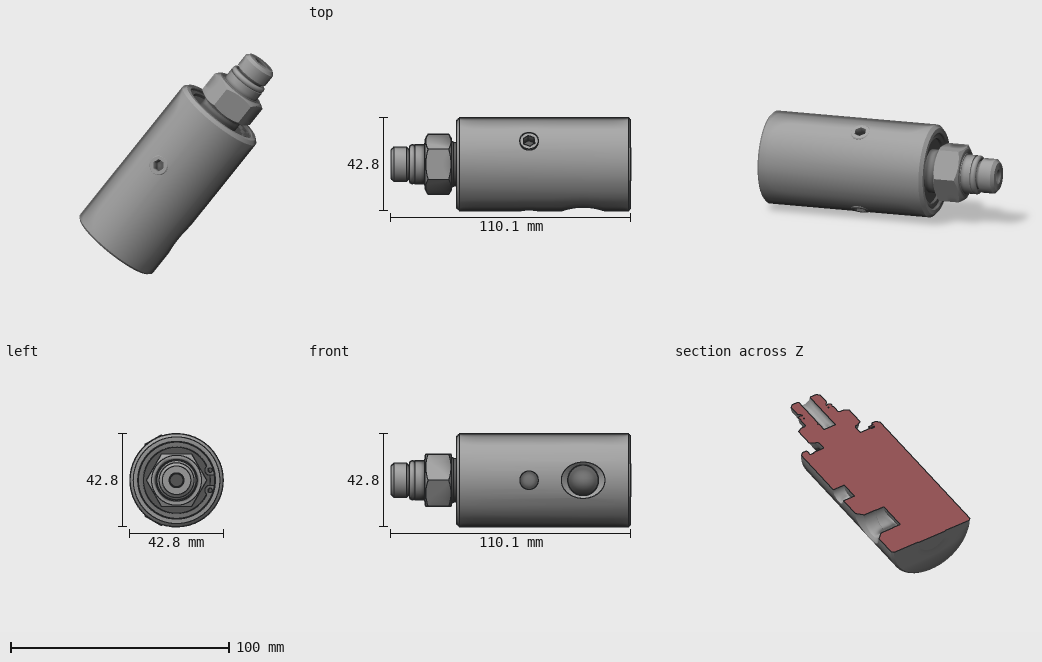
import cadquery as cq
import math

total_length = 110.1

spigot_dia = 16.0
spigot_tip_dia = 13.1
neck_dia = 13.1
thread_end_x = 7.0
ring_groove_end_x = 11.0
ring_outer_dia = 18.0
ring_section_radius = 1.3
ring_centre_x = 9.8
collar_dia = 18.0
flange_dia = 19.0
flange_start_x = 15.3
spigot_bore_dia = 6.0
spigot_bore_mouth_dia = 6.8
spigot_bore_depth = 22.0

nut_start_x = 15.6
nut_end_x = 27.9
nut_across_flats = 24.0
nut_face_dia = 22.9
nut_chamfer_angle = 30.0
hex_sides = 6
shaft_shoulder_dia = 21.1
shaft_dia = 20.0
shaft_shoulder_end_x = 28.7

housing_dia = 42.8
housing_start_x = 30.0
front_chamfer = 1.5
rear_chamfer = 1.0
rear_boss_dia = 15.0
rear_boss_height = 0.3
housing_end_x = total_length - rear_boss_height

recess_dia = 35.0
recess_mouth_dia = 35.7
recess_depth = 2.6
seal_land_dia = 30.9
seal_groove_depth = 0.4

clip_inner_dia = 30.3
clip_thickness = 1.3
clip_gap = 4.6
lug_radius = 2.4
lug_hole_dia = 2.0
lug_hole_y = -15.4
lug_hole_z = 4.6

port_x = 88.1
port_dia = 14.2
port_mouth_dia = 20.0
port_inner_dia = 13.9
port_step_y = -12.2
spindle_dia = 16.0

radial_x = 63.3
radial_hole_dia = 8.5
sleeve_dia = seal_land_dia

screw_dia = 9.2
screw_top_dia = 8.5
screw_top_radius = 21.5
screw_length = 6.6
screw_angles = (60.0, -60.0)
socket_across_flats = 5.0
socket_depth = 4.6
socket_turn = 8.0


def revolve_profile(points):
    """Solid of revolution about X from (x, radius) points."""
    return cq.Workplane("XY").polyline(points).close().revolve(360, (0, 0, 0), (1, 0, 0))


def cylinder_x(diameter, start_x, end_x):
    return cq.Workplane("YZ", origin=(start_x, 0, 0)).circle(diameter / 2).extrude(end_x - start_x)


def across_corners(across_flats):
    return across_flats / math.cos(math.pi / hex_sides)


def make_spigot():
    tip_chamfer = (spigot_dia - spigot_tip_dia) / 2
    neck_start_x = thread_end_x + (spigot_dia - neck_dia) / 2
    spigot = revolve_profile([
        (0, 0),
        (0, spigot_tip_dia / 2),
        (tip_chamfer, spigot_dia / 2),
        (thread_end_x, spigot_dia / 2),
        (neck_start_x, neck_dia / 2),
        (ring_groove_end_x, neck_dia / 2),
        (ring_groove_end_x, collar_dia / 2),
        (flange_start_x, collar_dia / 2),
        (flange_start_x, flange_dia / 2),
        (nut_start_x, flange_dia / 2),
        (nut_start_x, 0),
    ])
    ring_centre_radius = ring_outer_dia / 2 - ring_section_radius
    ring = (
        cq.Workplane("XY", origin=(ring_centre_x, 0, 0))
        .center(0, ring_centre_radius)
        .circle(ring_section_radius)
        .revolve(360, (0, -ring_centre_radius, 0), (1, -ring_centre_radius, 0))
    )
    return spigot.union(ring)


def make_spigot_bore():
    mouth_chamfer = (spigot_bore_mouth_dia - spigot_bore_dia) / 2
    return revolve_profile([
        (0, 0),
        (0, spigot_bore_mouth_dia / 2),
        (mouth_chamfer, spigot_bore_dia / 2),
        (spigot_bore_depth, spigot_bore_dia / 2),
        (spigot_bore_depth, 0),
    ])


def make_nut():
    corner_dia = across_corners(nut_across_flats)
    hexagon = (
        cq.Workplane("YZ", origin=(nut_start_x, 0, 0))
        .polygon(hex_sides, corner_dia)
        .extrude(nut_end_x - nut_start_x)
    )
    chamfer_radial = (corner_dia - nut_face_dia) / 2
    chamfer_axial = chamfer_radial * math.tan(math.radians(nut_chamfer_angle))
    envelope = revolve_profile([
        (nut_start_x, 0),
        (nut_start_x, nut_face_dia / 2),
        (nut_start_x + chamfer_axial, corner_dia / 2),
        (nut_end_x - chamfer_axial, corner_dia / 2),
        (nut_end_x, nut_face_dia / 2),
        (nut_end_x, 0),
    ])
    return hexagon.intersect(envelope)


def make_shaft():
    inner_end_x = housing_start_x + recess_depth
    return revolve_profile([
        (nut_end_x, 0),
        (nut_end_x, shaft_shoulder_dia / 2),
        (shaft_shoulder_end_x, shaft_dia / 2),
        (inner_end_x, shaft_dia / 2),
        (inner_end_x, 0),
    ])


def make_housing():
    radius = housing_dia / 2
    recess_floor_x = housing_start_x + recess_depth
    groove_floor_x = recess_floor_x + seal_groove_depth
    mouth_chamfer = (recess_mouth_dia - recess_dia) / 2
    return revolve_profile([
        (recess_floor_x, 0),
        (recess_floor_x, seal_land_dia / 2),
        (groove_floor_x, seal_land_dia / 2),
        (groove_floor_x, recess_dia / 2),
        (housing_start_x + mouth_chamfer, recess_dia / 2),
        (housing_start_x, recess_mouth_dia / 2),
        (housing_start_x, radius - front_chamfer),
        (housing_start_x + front_chamfer, radius),
        (housing_end_x - rear_chamfer, radius),
        (housing_end_x, radius - rear_chamfer),
        (housing_end_x, rear_boss_dia / 2),
        (total_length, rear_boss_dia / 2),
        (total_length, 0),
    ])


def make_retaining_ring():
    end_x = housing_start_x + recess_depth
    start_x = end_x - clip_thickness
    lug_places = [(lug_hole_y, lug_hole_z), (lug_hole_y, -lug_hole_z)]
    plane = cq.Workplane("YZ", origin=(start_x, 0, 0))
    lugs = plane.pushPoints(lug_places).circle(lug_radius).extrude(clip_thickness)
    ring = cylinder_x(recess_dia, start_x, end_x).cut(cylinder_x(clip_inner_dia, start_x, end_x))
    ring = ring.union(lugs.intersect(cylinder_x(recess_dia, start_x, end_x)))
    gap = plane.center(-recess_dia / 2, 0).rect(recess_dia, clip_gap).extrude(clip_thickness)
    holes = plane.pushPoints(lug_places).circle(lug_hole_dia / 2).extrude(clip_thickness)
    return ring.cut(gap).cut(holes)


def make_port():
    surface_y = -housing_dia / 2
    chamfer_depth = (port_mouth_dia - port_dia) / 2
    port = (
        cq.Workplane("XY", origin=(port_x, 0, 0))
        .polyline([
            (0, surface_y),
            (port_mouth_dia / 2, surface_y),
            (port_dia / 2, surface_y + chamfer_depth),
            (port_dia / 2, port_step_y),
            (port_inner_dia / 2, port_step_y),
            (port_inner_dia / 2, 0),
            (0, 0),
        ])
        .close()
        .revolve(360, (0, 0, 0), (0, 1, 0))
    )
    return port.cut(cylinder_x(spindle_dia, port_x - port_mouth_dia, port_x + port_mouth_dia))


def make_radial_hole():
    hole = cq.Workplane("XZ", origin=(radial_x, 0, 0)).circle(radial_hole_dia / 2).extrude(housing_dia / 2)
    return hole.cut(cylinder_x(sleeve_dia, radial_x - radial_hole_dia, radial_x + radial_hole_dia))


def make_screw(angle):
    """Set screw pointing outward at an angle from +Y towards +Z; returns the body and its socket."""
    outward = (0, math.cos(math.radians(angle)), math.sin(math.radians(angle)))
    top = tuple(screw_top_radius * part for part in outward)
    plane = cq.Plane(origin=(radial_x, top[1], top[2]), xDir=(1, 0, 0), normal=outward)
    body = (
        cq.Workplane(plane)
        .circle(screw_dia / 2)
        .extrude(-screw_length)
        .faces(cq.selectors.DirectionMinMaxSelector(cq.Vector(*outward), True))
        .chamfer((screw_dia - screw_top_dia) / 2)
    )
    socket = (
        cq.Workplane(plane)
        .transformed(rotate=(0, 0, 90 + socket_turn))
        .polygon(hex_sides, across_corners(socket_across_flats))
        .extrude(-socket_depth)
    )
    return body, socket


result = make_housing().union(make_shaft()).union(make_nut()).union(make_spigot())
result = result.union(make_retaining_ring())
result = result.cut(make_spigot_bore()).cut(make_port()).cut(make_radial_hole())
for screw_angle in screw_angles:
    screw_body, screw_socket = make_screw(screw_angle)
    result = result.union(screw_body).cut(screw_socket)